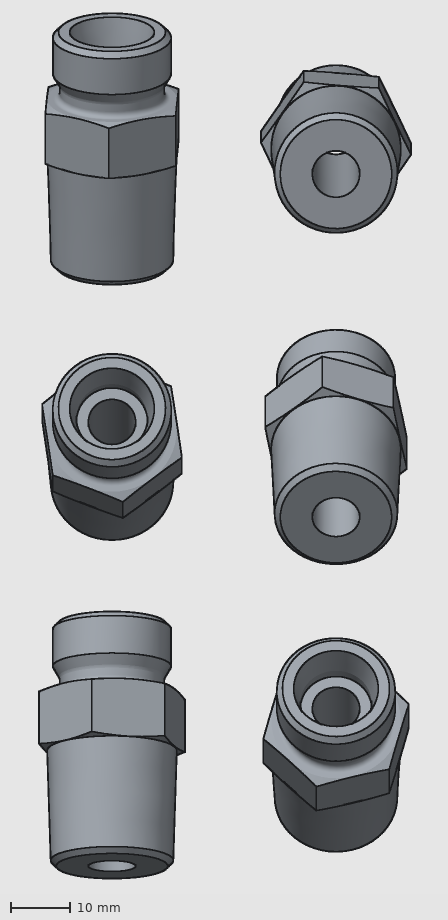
import cadquery as cq
import math

total_height = 42.0
hex_bottom = 20.0
hex_top = 30.0

across_flats = 22.0
across_corners = across_flats / math.cos(math.radians(30))
hex_chamfer_angle = 15.0
hex_face_diameter = 21.85

thread_diameter = 20.0
thread_chamfer = 0.95
thread_bottom = 34.55
undercut_diameter = 17.7
undercut_flank_angle = 30.0
undercut_fillet = 1.0

taper_ratio = 1 / 16
taper_bottom_diameter = 20.65
taper_chamfer = 0.95

bore_diameter = 8.0
socket_diameter = 12.0
socket_depth = 7.5
seat_diameter = 14.3
seat_half_angle = 12.0


def radius_on_taper(height):
    """Radius of the tapered end at a height above the end face."""
    return (taper_bottom_diameter + height * taper_ratio) / 2


def make_tapered_end():
    return (
        cq.Workplane("XZ")
        .lineTo(radius_on_taper(taper_chamfer) - taper_chamfer, 0)
        .lineTo(radius_on_taper(taper_chamfer), taper_chamfer)
        .lineTo(radius_on_taper(hex_bottom), hex_bottom)
        .lineTo(0, hex_bottom)
        .close()
        .revolve(360, (0, 0), (0, 1))
    )


def make_hexagon():
    height = hex_top - hex_bottom
    prism = (
        cq.Workplane("XY", origin=(0, 0, hex_bottom))
        .polygon(6, across_corners)
        .extrude(height)
        .rotate((0, 0, 0), (0, 0, 1), 30)
    )
    face_radius = hex_face_diameter / 2
    outer_radius = across_corners / 2
    corner_drop = (outer_radius - face_radius) * math.tan(math.radians(hex_chamfer_angle))
    envelope = (
        cq.Workplane("XZ")
        .moveTo(0, hex_bottom)
        .lineTo(face_radius, hex_bottom)
        .lineTo(outer_radius, hex_bottom + corner_drop)
        .lineTo(outer_radius, hex_top - corner_drop)
        .lineTo(face_radius, hex_top)
        .lineTo(0, hex_top)
        .close()
        .revolve(360, (0, 0), (0, 1))
    )
    return prism.intersect(envelope)


def make_straight_end():
    thread_radius = thread_diameter / 2
    neck_radius = undercut_diameter / 2
    flank_height = (thread_radius - neck_radius) / math.tan(math.radians(undercut_flank_angle))
    flank_bottom = thread_bottom - flank_height
    body = (
        cq.Workplane("XZ")
        .moveTo(0, hex_top)
        .lineTo(neck_radius + undercut_fillet, hex_top)
        .radiusArc((neck_radius, hex_top + undercut_fillet), undercut_fillet)
        .lineTo(neck_radius, flank_bottom)
        .lineTo(thread_radius, thread_bottom)
        .lineTo(thread_radius, total_height - thread_chamfer)
        .lineTo(thread_radius - thread_chamfer, total_height)
        .lineTo(0, total_height)
        .close()
        .revolve(360, (0, 0), (0, 1))
    )
    tolerance = 0.05
    corner = cq.selectors.BoxSelector(
        (-thread_radius, -thread_radius, flank_bottom - tolerance),
        (thread_radius, thread_radius, flank_bottom + tolerance),
        boundingbox=True,
    )
    return body.edges(corner).edges("%CIRCLE").fillet(undercut_fillet)


def make_bore():
    seat_depth = (seat_diameter - socket_diameter) / 2 / math.tan(math.radians(seat_half_angle))
    return (
        cq.Workplane("XZ")
        .lineTo(bore_diameter / 2, 0)
        .lineTo(bore_diameter / 2, total_height - socket_depth)
        .lineTo(socket_diameter / 2, total_height - socket_depth)
        .lineTo(socket_diameter / 2, total_height - seat_depth)
        .lineTo(seat_diameter / 2, total_height)
        .lineTo(0, total_height)
        .close()
        .revolve(360, (0, 0), (0, 1))
    )


result = make_tapered_end().union(make_hexagon()).union(make_straight_end()).cut(make_bore())